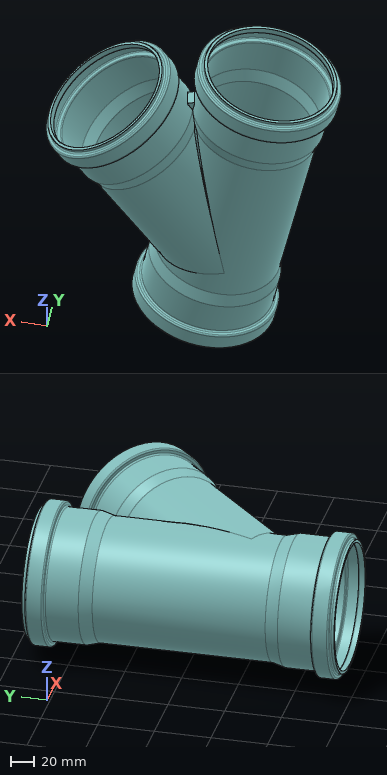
import cadquery as cq
import math

pipe_outer = 110.0
pipe_bore = 103.8
socket_outer = 116.5
socket_bore = 110.5
lip_bore = 111.0
bead_outer = 127.0
groove_bore = 121.0

bead_start = 3.9
bead_end = 19.5
groove_start = 5.8
groove_end = 16.8
run_socket_depth = 49.8
branch_socket_depth = 49.0
taper_length = 11.5

bead_fillet = 1.5
groove_fillet = 0.8

run_length = 275.2
branch_angle = 45.0
branch_length = 188.8
crossing_y = -51.0

filler_reach = 146.5
filler_thickness = 2.8
filler_inset = 0.1
web_start = 137.5
web_reach = 159.5
web_thickness = 6.0
web_height = 13.8


def outer_bands(socket_depth):
    """Cylindrical bands from mouth to taper: (diameter, end distance)."""
    return [
        (socket_outer, bead_start),
        (bead_outer, bead_end),
        (socket_outer, socket_depth),
    ]


def bore_bands(socket_depth):
    """Cylindrical bands of the bore, as for the outside."""
    return [
        (lip_bore, groove_start),
        (groove_bore, groove_end),
        (socket_bore, socket_depth),
    ]


def socket(bands, pipe_diameter, fillet, mouth):
    """Solid socket around Y, from its mouth at Y = mouth down to the end of its taper."""
    profile = cq.Workplane("XY").moveTo(0, mouth).lineTo(bands[0][0] / 2, mouth)
    for (diameter, shoulder), (next_diameter, _) in zip(bands, bands[1:]):
        radius = diameter / 2
        next_radius = next_diameter / 2
        y = mouth - shoulder
        offset = math.copysign(fillet, next_radius - radius)
        profile = (
            profile.lineTo(radius, y + fillet)
            .tangentArcPoint((radius + offset, y), relative=False)
            .lineTo(next_radius - offset, y)
            .tangentArcPoint((next_radius, y - fillet), relative=False)
        )
    last_diameter, socket_depth = bands[-1]
    taper_start = mouth - socket_depth
    taper_end = taper_start - taper_length
    profile = (
        profile.lineTo(last_diameter / 2, taper_start)
        .lineTo(pipe_diameter / 2, taper_end)
        .lineTo(0, taper_end)
        .close()
    )
    return profile.revolve(360, (0, 0, 0), (0, 1, 0))


def pipe(diameter, start, end):
    """Solid cylinder around Y between two Y positions."""
    return cq.Workplane("XZ", origin=(0, start, 0)).circle(diameter / 2).extrude(start - end)


def run(bands, pipe_diameter, fillet):
    mouth = run_length / 2
    taper_end = mouth - run_socket_depth - taper_length
    end_socket = socket(bands, pipe_diameter, fillet, mouth)
    middle = pipe(pipe_diameter, -taper_end, taper_end)
    return middle.union(end_socket).union(end_socket.mirror("XZ"))


def place_at_crossing(shape, angle):
    """Turn a shape from +Y toward +X and move it to the crossing of the axes."""
    return shape.rotate((0, 0, 0), (0, 0, 1), -angle).translate((0, crossing_y, 0))


def branch(bands, pipe_diameter, fillet):
    taper_end = branch_length - branch_socket_depth - taper_length
    leg = pipe(pipe_diameter, 0, taper_end)
    leg = leg.union(socket(bands, pipe_diameter, fillet, branch_length))
    return place_at_crossing(leg, branch_angle)


def crotch_filler():
    """Half-elliptic plate along the crotch seam, with a short web between the sockets."""
    half_height = pipe_outer / 2 - filler_inset
    plate = (
        cq.Workplane("YZ")
        .moveTo(0, -half_height)
        .ellipseArc(filler_reach, half_height, -90, 90, startAtCurrent=True)
        .close()
        .extrude(filler_thickness / 2, both=True)
    )
    web_length = web_reach - web_start
    web = cq.Workplane("XY").box(web_thickness, web_length, web_height)
    web = web.translate((0, web_start + web_length / 2, 0))
    return place_at_crossing(plate.union(web), branch_angle / 2)


run_body = run(outer_bands(run_socket_depth), pipe_outer, bead_fillet)
branch_body = branch(outer_bands(branch_socket_depth), pipe_outer, bead_fillet)
run_bore = run(bore_bands(run_socket_depth), pipe_bore, groove_fillet)
branch_bore = branch(bore_bands(branch_socket_depth), pipe_bore, groove_fillet)

body = run_body.union(branch_body).union(crotch_filler())
result = body.cut(run_bore).cut(branch_bore)